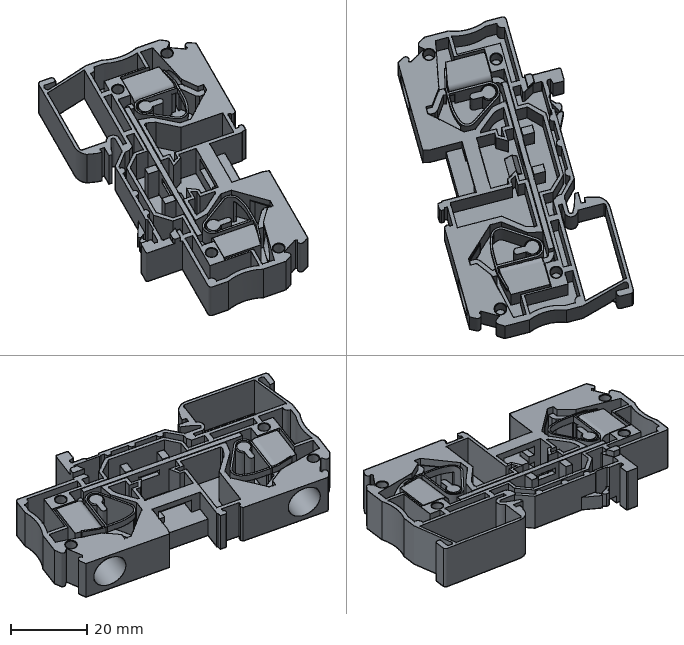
import cadquery as cq
import math


BODY_HEIGHT = 12.0
WIRE_DIAMETER = 9.5
WIRE_Z = 6.3
FLOOR = WIRE_Z - WIRE_DIAMETER / 2
RECESS_HEIGHT = 2.05
CHANNEL_FLOOR = 3.0
LEDGE_HEIGHT = 10.0
CLAMP_HEIGHT = 11.7
LEG_HEIGHT = 9.0
LATCH_HEIGHT = 6.0
PLATE_HEIGHT = 5.9
TAB_TOP = 13.75
HOOK_WEB = 1.0

WIDTH = 81.79
RIGHT = WIDTH / 2
LEFT = -RIGHT
TOP = 43.5
BASE_Y = 12.95
RAIL_Y = 7.05
RELIEF_Y = 7.55
WAVE_TOP_Y = 28.5
WAVE_BOTTOM_Y = 18.4
WAVE_MID_X = 39.92
NECK_LEFT = -3.55
NECK_RIGHT = 10.75
NECK_Y = 32.9
PLATE_Y = 37.25
FOOT_RIGHT = 23.5
FOOT_Y = 2.6
FOOT_ROUND = 0.5

SLOT_BOTTOM = 17.05
BUS_BOTTOM = 17.2
BUS_TOP = 18.65
BUS_END = 23.6
BUS_GAP_TOP = 18.85
BUS_GAP_END = 18.6
CAVITY_TOP = 28.95
SNAP_AXIS = (NECK_LEFT + NECK_RIGHT) / 2

CLAMP_INNER = 24.75
CLAMP_FOLD = 1.7
CLAMP_OUTER = 32.9
CLAMP_BOTTOM = 20.75
CLAMP_TOP = 32.55
SPRING_THICKNESS = 0.55
PIN_X = 21.95
PIN_Y = 22.6
PIN_RADIUS = 2.15
PIN_CHAMFER = 0.3
PIN_KEY_WIDTH = 1.7
PIN_KEY_TOP = 27.65
WIRE_X = 28.9
HOLE_DIAMETER = 3.0
HOLE_DEPTH = 6.0
HOLE_CHAMFER = 0.15
HOLES = [(36.02, 35.1), (30.2, 18.35)]

BUMP_RADIUS = 1.0
BUMP_Y = 8.05
BUMP_X = [-4.65, 3.7, 10.85]
BAR_SIZE = (2.1, 3.1)
BAR_LEFT = [-2.85, 8.2]
BAR_Y = 13.9
ROW_TOP = 16.15
ROW_BOTTOM = 14.0
ROW_END_RIGHT = 23.0
ROW_END_LEFT = 30.85
ROW_SLOT_LEFT = -29.3
ROW_SLOT_RIGHT = -16.4
TROUGH_OUTSIDE = [
    (-8.85, ROW_TOP), (-8.85, 13.4), (-5.0, 9.55), (12.5, 9.55), (16.35, 13.4), (16.35, ROW_TOP)]


def slab(wire, bottom, top):
    """Extrude a closed outline between two heights."""
    return wire.extrude(top - bottom).translate((0, 0, bottom))


def prism(points, bottom, top):
    return slab(cq.Workplane("XY").polyline(points).close(), bottom, top)


def block(x0, x1, y0, y1, bottom, top):
    return prism([(x0, y0), (x1, y0), (x1, y1), (x0, y1)], bottom, top)


def pocket(points):
    return prism(points, FLOOR, BODY_HEIGHT)


def reflect(solid, axis=0.0):
    return solid.mirror("YZ", (axis, 0, 0))


def make_outline():
    """Housing, with the side frame and the rail foot, as one closed outline."""
    outline = cq.Workplane("XY").polyline([(LEFT, WAVE_TOP_Y), (LEFT, 35.2), (-39.95, 36.65)])
    outline = outline.threePointArc((-39.3, 37.1), (-38.55, 36.8))
    for point in [(-37.8, 35.9), (-35.3, 40.2), (-35.6, 40.75), (-36.1, 40.45)]:
        outline = outline.lineTo(*point)
    outline = outline.threePointArc((-36.95, 41.0), (-36.95, 41.8))
    for point in [
        (-36.0, TOP), (-10.7, TOP), (-10.25, 42.95), (-10.25, 42.15), (-10.7, 42.0), (-10.7, 41.3),
        (-5.5, 41.3), (-5.5, 42.1), (-6.0, 42.3), (-6.0, 43.1), (-5.6, TOP), (-3.95, TOP),
        (-3.8, 42.5), (NECK_LEFT, 42.2),
        (NECK_LEFT, NECK_Y), (NECK_RIGHT, NECK_Y), (NECK_RIGHT, 41.7), (11.15, TOP),
        (36.0, TOP), (36.95, 41.8),
    ]:
        outline = outline.lineTo(*point)
    outline = outline.threePointArc((36.95, 41.0), (36.1, 40.45))
    for point in [(35.6, 40.75), (35.3, 40.2), (37.8, 35.9), (38.55, 36.8)]:
        outline = outline.lineTo(*point)
    outline = outline.threePointArc((39.3, 37.1), (39.95, 36.65))
    outline = outline.lineTo(RIGHT, 35.0).lineTo(RIGHT, WAVE_TOP_Y)
    wave_mid_y = (WAVE_TOP_Y + WAVE_BOTTOM_Y) / 2
    outline = outline.threePointArc((WAVE_MID_X, wave_mid_y), (RIGHT, WAVE_BOTTOM_Y))
    outline = outline.lineTo(RIGHT, 13.9).threePointArc((40.62, 13.23), (39.95, BASE_Y))
    outline = outline.lineTo(FOOT_RIGHT, BASE_Y).lineTo(FOOT_RIGHT, FOOT_Y + FOOT_ROUND)
    round_offset = FOOT_ROUND * (1 - math.sqrt(0.5))
    outline = outline.threePointArc(
        (FOOT_RIGHT - round_offset, FOOT_Y + round_offset), (FOOT_RIGHT - FOOT_ROUND, FOOT_Y))
    for point in [
        (20.15, FOOT_Y), (19.75, 2.8), (19.75, 5.65), (20.5, 5.8), (21.15, 6.0),
        (21.15, 6.85), (20.75, RAIL_Y),
        (17.3, RAIL_Y), (16.85, RELIEF_Y), (13.35, RELIEF_Y), (12.9, RAIL_Y),
        (-6.7, RAIL_Y), (-10.65, 10.85),
        (-15.15, 10.85),
    ]:
        outline = outline.lineTo(*point)
    outline = outline.threePointArc((-15.65, 10.25), (-15.15, 9.7))
    for point in [
        (-13.9, 9.05), (-10.65, 8.0), (-10.65, RAIL_Y), (-13.65, RAIL_Y), (-13.65, 5.85), (-12.4, 5.85),
    ]:
        outline = outline.lineTo(*point)
    outline = outline.lineTo(-12.65, 4.4).lineTo(-13.4, 1.9)
    outline = outline.threePointArc((-14.95, 0.5), (-17.1, 0))
    outline = outline.lineTo(-40.1, 0).threePointArc((-40.54, 0.18), (LEFT, 0.6))
    outline = outline.lineTo(LEFT, 3.7).threePointArc((-40.6, 4.3), (-39.9, 4.5)).lineTo(-39.25, 4.55)
    outline = outline.threePointArc((-38.6, 4.95), (-38.6, 5.8))
    outline = outline.lineTo(LEFT, 13.95).lineTo(LEFT, WAVE_BOTTOM_Y)
    return outline.threePointArc((-WAVE_MID_X, wave_mid_y), (LEFT, WAVE_TOP_Y)).close()


def make_frame_opening():
    opening = cq.Workplane("XY").polyline([
        (-39.7, BASE_Y), (-12.6, BASE_Y), (-12.6, 11.95), (-15.3, 11.95)])
    opening = opening.threePointArc((-16.65, 10.15), (-15.3, 8.35))
    opening = opening.lineTo(-15.3, 1.35).lineTo(-15.7, 0.95).lineTo(-36.55, 0.95).close()
    return slab(opening, 0, BODY_HEIGHT)


def make_hook_slot():
    """Slot between the hook and the strut, closed below by a thin web."""
    slot = cq.Workplane("XY").moveTo(-39.25, 5.9).lineTo(-38.63, 5.9).lineTo(-37.5, 1.9)
    slot = slot.threePointArc((-37.65, 1.2), (-38.2, 0.95)).lineTo(-38.8, 0.95)
    slot = slot.threePointArc((-39.13, 1.07), (-39.25, 1.4)).close()
    return slab(slot, HOOK_WEB, BODY_HEIGHT)


def make_terminal_pocket():
    return pocket([
        (39.2, 32.4), (26.5, 34.95), (22.4, 37.9), (22.4, 39.55), (20.55, 39.55),
        (13.15, 31.7), (13.15, 28.65), (17.8, 22.8), (BUS_GAP_END, BUS_GAP_TOP),
        (BUS_GAP_END, SLOT_BOTTOM), (27.0, SLOT_BOTTOM), (27.0, 20.6), (33.65, 20.6),
        (33.65, CAVITY_TOP), (39.2, CAVITY_TOP),
    ])


def make_wire_entry():
    """Round wire passage from the outer edge into the terminal pocket."""
    entry = cq.Workplane("XZ", origin=(WIRE_X, TOP, 0)).center(0, WIRE_Z)
    return entry.circle(WIRE_DIAMETER / 2).extrude(TOP - CLAMP_BOTTOM - WIRE_DIAMETER)


def make_screw_holes():
    holes = cq.Workplane("XY", origin=(0, 0, BODY_HEIGHT - HOLE_DEPTH)).pushPoints(HOLES)
    holes = holes.circle(HOLE_DIAMETER / 2).extrude(HOLE_DEPTH)
    rims = cq.Workplane("XY", origin=(0, 0, BODY_HEIGHT)).pushPoints(HOLES)
    rims = rims.circle(HOLE_DIAMETER / 2 + HOLE_CHAMFER).extrude(-HOLE_CHAMFER, taper=45)
    return holes.union(rims)


def make_ledge():
    """Ledge along the screwdriver slot and a sliver of it on the opposite wall."""
    sliver = prism([(20.7, 39.6), (16.7, 35.5), (16.85, 35.35), (20.7, 39.2)], FLOOR, LEDGE_HEIGHT)
    return sliver.union(prism([
        (22.4, 39.55), (20.7, 39.55), (20.7, 37.6), (21.3, 36.7), (24.85, 34.2), (24.6, 33.4),
        (26.5, 33.4), (26.5, 34.95), (22.4, 37.9),
    ], FLOOR, LEDGE_HEIGHT))


def make_clamp():
    clamp = prism([
        (CLAMP_INNER, CLAMP_BOTTOM), (CLAMP_OUTER, CLAMP_BOTTOM), (CLAMP_OUTER, 31.4),
        (26.5, CLAMP_TOP), (CLAMP_INNER, CLAMP_TOP),
    ], FLOOR, CLAMP_HEIGHT)
    fold_middle = (CLAMP_INNER, (CLAMP_BOTTOM + CLAMP_TOP) / 2, CLAMP_HEIGHT)
    return clamp.edges(cq.selectors.NearestToPointSelector(fold_middle)).fillet(CLAMP_FOLD)


def make_spring_loop():
    loop = cq.Workplane("XY").moveTo(CLAMP_INNER, PIN_Y).lineTo(CLAMP_INNER, 33.4)
    loop = loop.lineTo(20.4, 33.35).threePointArc((18.2, 33.05), (16.3, 32.45))
    loop = loop.threePointArc((14.45, 30.4), (14.9, 28.2)).lineTo(19.6, 21.2)
    return loop.threePointArc((22.2, 19.65), (CLAMP_INNER, PIN_Y)).close()


def make_spring():
    """Closed loop of sheet metal with a leaf reaching over the clamp."""
    bend_x = 15.5
    bend_y = 31.2
    height = BODY_HEIGHT - FLOOR
    ring = make_spring_loop().extrude(height)
    ring = ring.cut(make_spring_loop().offset2D(-SPRING_THICKNESS).extrude(height))
    ring = ring.translate((0, 0, FLOOR))
    ring = ring.cut(block(bend_x, CLAMP_INNER, bend_y, TOP, 0, LEDGE_HEIGHT))
    leaf = prism([
        (24.3, 33.4), (26.5, 33.35), (31.2, 32.1), (31.2, 31.6), (26.5, 32.85), (24.3, 32.85),
    ], LEDGE_HEIGHT, BODY_HEIGHT)
    return ring.union(leaf)


def make_keyed_pin():
    pin = slab(cq.Workplane("XY").center(PIN_X, PIN_Y).circle(PIN_RADIUS), FLOOR, BODY_HEIGHT)
    pin = pin.faces(">Z").chamfer(PIN_CHAMFER)
    key_radius = PIN_KEY_WIDTH / 2
    shoulder = PIN_KEY_TOP - key_radius
    key = cq.Workplane("XY").moveTo(PIN_X - key_radius, PIN_Y).lineTo(PIN_X - key_radius, shoulder)
    key = key.threePointArc((PIN_X, PIN_KEY_TOP), (PIN_X + key_radius, shoulder))
    key = key.lineTo(PIN_X + key_radius, PIN_Y).close()
    return pin.union(slab(key, FLOOR, BODY_HEIGHT))


def make_busbar_leg():
    """Bent end of the busbar, rising from the bar to the clamp."""
    leg_outer = CLAMP_INNER + CLAMP_FOLD
    leg_start = BUS_END - 1.0
    inner_radius = 1.1
    outer_radius = 3.1
    diagonal = math.sqrt(0.5)
    leg = cq.Workplane("XY").moveTo(leg_start, BUS_BOTTOM).lineTo(leg_outer - outer_radius, BUS_BOTTOM)
    leg = leg.threePointArc(
        (leg_outer - outer_radius * (1 - diagonal), BUS_BOTTOM + outer_radius * (1 - diagonal)),
        (leg_outer, BUS_BOTTOM + outer_radius))
    leg = leg.lineTo(leg_outer, CLAMP_BOTTOM).lineTo(CLAMP_INNER, CLAMP_BOTTOM)
    leg = leg.lineTo(CLAMP_INNER, BUS_TOP + inner_radius)
    leg = leg.threePointArc(
        (CLAMP_INNER - inner_radius * (1 - diagonal), BUS_TOP + inner_radius * (1 - diagonal)),
        (CLAMP_INNER - inner_radius, BUS_TOP))
    leg = leg.lineTo(leg_start, BUS_TOP).close()
    return slab(leg, FLOOR, LEG_HEIGHT)


def make_side_pocket(row_end):
    """L-shaped pocket behind the wavy end; row_end is where its lower arm stops."""
    edge = cq.Workplane("XY").polyline([
        (39.3, 28.0), (34.1, 28.0), (34.1, ROW_TOP), (row_end, ROW_TOP), (row_end, ROW_BOTTOM),
        (38.0, ROW_BOTTOM), (38.0, 14.4)])
    edge = edge.threePointArc((38.45, 15.3), (39.2, 15.65)).lineTo(39.55, 15.65)
    edge = edge.lineTo(39.55, 18.6).threePointArc((38.65, 23.5), (39.3, 28.0)).close()
    return slab(edge, FLOOR, BODY_HEIGHT)


def make_tower_pocket():
    return pocket([
        (-11.65, 40.25), (-4.55, 40.25), (-4.55, 19.9), (-16.5, 19.9), (-16.7, 20.6),
        (-15.95, 22.9), (-11.65, 28.2),
    ])


def make_triangle_pocket():
    return pocket([
        (11.75, 27.55), (12.2, 27.5), (15.9, 23.1), (16.5, 21.9), (16.9, 19.9), (11.75, 19.9)])


def make_snap():
    """Hollow snap nose on the left wall of the central cavity."""
    return prism([(NECK_LEFT, 24.0), (-2.25, 24.0), (-0.5, 21.15), (NECK_LEFT, 21.15)], 0, BODY_HEIGHT)


def make_snap_pocket():
    return pocket([(-4.6, 23.25), (-2.7, 23.25), (-1.95, 21.85), (-4.6, 21.85)])


def make_cavity():
    snap = make_snap()
    cavity = block(NECK_LEFT, NECK_RIGHT, BUS_TOP, CAVITY_TOP, FLOOR, BODY_HEIGHT)
    return cavity.cut(snap).cut(reflect(snap, SNAP_AXIS))


def make_crossbar_window():
    """Stepped opening and a notch below it through the bar that joins the two towers."""
    left = -1.0
    middle = 7.0
    right = 8.8
    notch_bottom = 3.5
    notch_top = 5.3
    wing_bottom = 7.6
    top = 10.2
    opening = block(left, middle, CAVITY_TOP, NECK_Y, PLATE_HEIGHT, top)
    opening = opening.union(block(left, right, CAVITY_TOP, NECK_Y, wing_bottom, top))
    return opening.union(block(middle, right, CAVITY_TOP, NECK_Y, notch_bottom, notch_top))


def make_ridge():
    """Small roof-shaped nub on the cavity floor."""
    ridge_left = 1.0
    ridge_right = 6.1
    ridge_rise = 1.95
    ridge = cq.Workplane("YZ").polyline([(19.25, FLOOR), (20.6, FLOOR + ridge_rise), (22.65, FLOOR)])
    return ridge.close().extrude(ridge_right - ridge_left).translate((ridge_left, 0, 0))


def make_trough():
    return pocket([
        (-7.95, SLOT_BOTTOM), (-7.95, 13.85), (-4.7, 10.55), (11.9, 10.55), (15.4, 13.9),
        (15.4, SLOT_BOTTOM),
    ])


def make_channel():
    """Channel running round the trough, with half-round bumps on its outer wall."""
    channel = prism([
        (-14.85, ROW_TOP), *TROUGH_OUTSIDE, (21.6, ROW_TOP), (21.6, ROW_BOTTOM), (19.6, ROW_BOTTOM),
        (19.6, 13.4), (20.2, 12.35), (21.15, 10.8), (21.15, 8.5), (20.85, 8.25), (13.4, 8.25),
        (12.9, BUMP_Y), (-6.25, BUMP_Y), (-9.95, 11.4), (-10.1, 12.7), (-11.0, ROW_BOTTOM),
        (-14.85, ROW_BOTTOM),
    ], CHANNEL_FLOOR, BODY_HEIGHT)
    bumps = cq.Workplane("XY").pushPoints([(x, BUMP_Y) for x in BUMP_X]).circle(BUMP_RADIUS)
    return channel.cut(bumps.extrude(BODY_HEIGHT))


def make_underside_recess():
    """Step in the underside that follows the outside of the trough."""
    left = -10.05
    right = 19.6
    return prism(
        [(left, ROW_TOP), *TROUGH_OUTSIDE, (right, ROW_TOP), (right, 0), (left, 0)], 0, RECESS_HEIGHT)


def make_latch():
    """Wedge and hook that grip the mounting rail."""
    wedge = prism([
        (8.3, RAIL_Y), (13.3, 4.6), (13.6, 5.5), (12.9, 6.5), (12.9, RELIEF_Y),
    ], RECESS_HEIGHT, LATCH_HEIGHT)
    hook = cq.Workplane("XY").polyline([
        (16.1, 5.85), (17.4, RAIL_Y), (17.3, 7.6), (16.5, 7.6), (16.7, 7.2), (13.6, 5.5), (14.2, 4.95),
        (14.65, 4.6), (15.0, 4.6)])
    hook = hook.threePointArc((15.8, 4.95), (16.1, 5.85)).close()
    return wedge.union(slab(hook, RECESS_HEIGHT, LATCH_HEIGHT))


def make_bars():
    width, length = BAR_SIZE
    bars = cq.Workplane("XY")
    for left in BAR_LEFT:
        bars = bars.union(block(left, left + width, BAR_Y, BAR_Y + length, FLOOR, BODY_HEIGHT))
    return bars


def make_busbar():
    """Straight bar with a small window above the trough floor."""
    window_left = 1.0
    window_right = 7.2
    window_bottom = 8.6
    window_top = 10.2
    window = block(window_left, window_right, BUS_BOTTOM, BUS_TOP, window_bottom, window_top)
    return block(-BUS_END, BUS_END, BUS_BOTTOM, BUS_TOP, FLOOR, BODY_HEIGHT).cut(window)


def make_tab():
    """Raised tab above the root of the rail foot."""
    return prism([
        (20.1, 12.4), (FOOT_RIGHT, 12.4), (FOOT_RIGHT, 10.9), (FOOT_RIGHT - FOOT_ROUND, 10.4), (21.2, 10.4),
    ], BODY_HEIGHT, TAB_TOP)


body = slab(make_outline(), 0, BODY_HEIGHT)
body = body.union(block(NECK_LEFT, NECK_RIGHT, NECK_Y, PLATE_Y, 0, PLATE_HEIGHT))

terminal_cuts = [make_terminal_pocket(), make_wire_entry(), make_screw_holes()]
cuts = terminal_cuts + [reflect(cut) for cut in terminal_cuts]
cuts += [
    make_frame_opening(),
    make_hook_slot(),
    make_side_pocket(ROW_END_RIGHT),
    reflect(make_side_pocket(ROW_END_LEFT)),
    block(ROW_SLOT_LEFT, ROW_SLOT_RIGHT, ROW_BOTTOM, ROW_TOP, FLOOR, BODY_HEIGHT),
    make_tower_pocket(),
    make_triangle_pocket(),
    make_cavity(),
    make_snap_pocket(),
    reflect(make_snap_pocket(), SNAP_AXIS),
    make_crossbar_window(),
    make_trough(),
    make_channel(),
    make_underside_recess(),
    block(-BUS_GAP_END, BUS_GAP_END, SLOT_BOTTOM, BUS_GAP_TOP, FLOOR, BODY_HEIGHT),
]
for cut in cuts:
    body = body.cut(cut)

terminal_inserts = [make_ledge(), make_clamp(), make_spring(), make_keyed_pin(), make_busbar_leg()]
inserts = terminal_inserts + [reflect(insert) for insert in terminal_inserts]
inserts += [make_busbar(), make_bars(), make_ridge(), make_latch(), make_tab()]
for insert in inserts:
    body = body.union(insert)

result = body